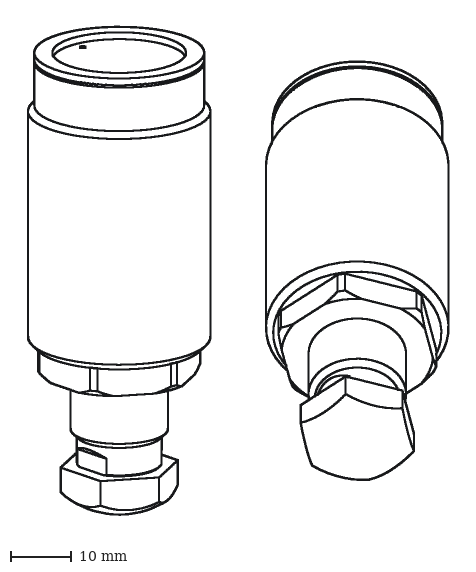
import cadquery as cq
import math

total_height = 79.0

screw_across_flats = 17.1
screw_height = 8.05
dome_radius = 14.6

neck_diameter = 14.0
neck_end_chamfer = 0.2
neck_across_flats = 12.0
flat_top = 11.05
flat_runout = (neck_diameter - neck_across_flats) / 2
tube_diameter = 16.0
tube_bottom = 13.0
tube_chamfer = (tube_diameter - neck_diameter) / 2
flange_across_flats = 24.0
flange_corner_diameter = 27.0
flange_bottom = 23.7
flange_chamfer = 1.0

housing_diameter = 30.0
housing_bottom = 28.75
housing_bottom_chamfer = 1.2
collar_diameter = 28.0
collar_bottom = 69.9
shoulder_slope = (housing_diameter - collar_diameter) / 2
collar_chamfer = 0.4
pinhole_diameter = 0.95
pinhole_depth = 0.95
pinhole_offset = 9.0

ring_thickness = 1.2
ring_bore = 22.0
housing_top = total_height - ring_thickness


def cylinder(diameter, bottom, top):
    return cq.Workplane("XY").workplane(offset=bottom).circle(diameter / 2).extrude(top - bottom)


def hexagon(across_flats, bottom, top):
    """Hexagonal prism with flats facing +Y and -Y and corners on the X axis."""
    across_corners = across_flats / math.cos(math.radians(30))
    return cq.Workplane("XY").workplane(offset=bottom).polygon(6, across_corners).extrude(top - bottom)


def make_screw():
    """Hexagon whose lower end is rounded to a spherical dome."""
    dome = cq.Workplane("XY").sphere(dome_radius).translate((0, 0, dome_radius))
    return hexagon(screw_across_flats, 0, screw_height).intersect(dome)


def cut_wrench_flats(body):
    """Cut two opposite flats in the neck, each running out upward at 45 degrees."""
    flat_y = neck_across_flats / 2
    rim_y = flat_y + flat_runout
    profile = [
        (flat_y, screw_height),
        (flat_y, flat_top),
        (rim_y, flat_top + flat_runout),
        (rim_y, screw_height),
    ]
    cutter = cq.Workplane("YZ").polyline(profile).close().extrude(neck_diameter / 2, both=True)
    return body.cut(cutter).cut(cutter.mirror("XZ"))


def make_fitting():
    neck = cylinder(neck_diameter, screw_height, tube_bottom).faces("<Z").chamfer(neck_end_chamfer)
    neck = cut_wrench_flats(neck)
    tube = cylinder(tube_diameter, tube_bottom, flange_bottom).faces("<Z").chamfer(tube_chamfer)
    turned_blank = cylinder(flange_corner_diameter, flange_bottom, housing_bottom)
    turned_blank = turned_blank.faces("<Z").chamfer(flange_chamfer)
    flange = hexagon(flange_across_flats, flange_bottom, housing_bottom).intersect(turned_blank)
    return flange.union(tube).union(neck)


def make_housing():
    barrel = cylinder(housing_diameter, housing_bottom, collar_bottom)
    barrel = barrel.faces("<Z").chamfer(housing_bottom_chamfer).faces(">Z").chamfer(shoulder_slope)
    collar = cylinder(collar_diameter, collar_bottom, housing_top).faces(">Z").chamfer(collar_chamfer)
    pinhole = cylinder(pinhole_diameter, housing_top - pinhole_depth, housing_top)
    return barrel.union(collar).cut(pinhole.translate((-pinhole_offset, 0, 0)))


def make_cap_ring():
    ring = cylinder(collar_diameter, housing_top, total_height)
    return ring.cut(cylinder(ring_bore, housing_top, total_height))


screw = make_screw()
fitting = make_fitting()
housing = make_housing()
cap_ring = make_cap_ring()

bodies = [screw, fitting, housing, cap_ring]
result = cq.Compound.makeCompound([body.solids().val() for body in bodies])